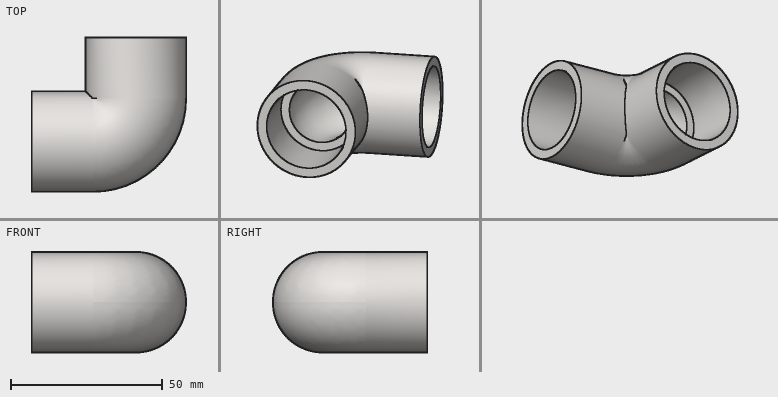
import cadquery as cq
import math

overall_length = 51.0
outer_diameter = 33.3
socket_length = 20.15

mouth_diameter = 26.9
seat_diameter = 26.6
passage_diameter = 20.9

outer_radius = outer_diameter / 2
half_length = overall_length / 2
bend_radius = overall_length - socket_length - outer_radius
axis_offset = half_length - outer_radius
bend_corner = socket_length - half_length

x_mouth = cq.Plane(origin=(-half_length, -axis_offset, 0), xDir=(0, 1, 0), normal=(1, 0, 0))
y_mouth = cq.Plane(origin=(axis_offset, half_length, 0), xDir=(1, 0, 0), normal=(0, -1, 0))


def straight(mouth, diameter):
    """Cylinder along one arm, from its mouth to the start of the bend."""
    return cq.Workplane(mouth).circle(diameter / 2).extrude(socket_length)


def bend(diameter):
    """Quarter-turn bend; the part of the disc beyond the turning axis is left out."""
    radius = diameter / 2
    far_side = bend_radius + radius
    profile = cq.Workplane("XZ", origin=(bend_corner, -bend_corner, 0))
    if radius > bend_radius:
        half_chord = math.sqrt(radius**2 - bend_radius**2)
        half_angle = math.acos(-bend_radius / radius)
        bulge_x = bend_radius + radius * math.cos(half_angle / 2)
        bulge_z = radius * math.sin(half_angle / 2)
        profile = (
            profile.moveTo(0, -half_chord)
            .threePointArc((bulge_x, -bulge_z), (far_side, 0))
            .threePointArc((bulge_x, bulge_z), (0, half_chord))
            .close()
        )
    else:
        profile = profile.moveTo(bend_radius, 0).circle(radius)
    return profile.revolve(90, (0, 0), (0, -1))


def socket_bore(mouth):
    """Slightly tapered bore that ends at the shoulder seating the pipe."""
    return (
        cq.Workplane(mouth)
        .circle(mouth_diameter / 2)
        .workplane(offset=socket_length)
        .circle(seat_diameter / 2)
        .loft(ruled=True)
    )


body = bend(outer_diameter)
passage = bend(passage_diameter)
for mouth in (x_mouth, y_mouth):
    body = body.union(straight(mouth, outer_diameter))
    passage = passage.union(straight(mouth, passage_diameter))

result = body.cut(passage)
for mouth in (x_mouth, y_mouth):
    result = result.cut(socket_bore(mouth))